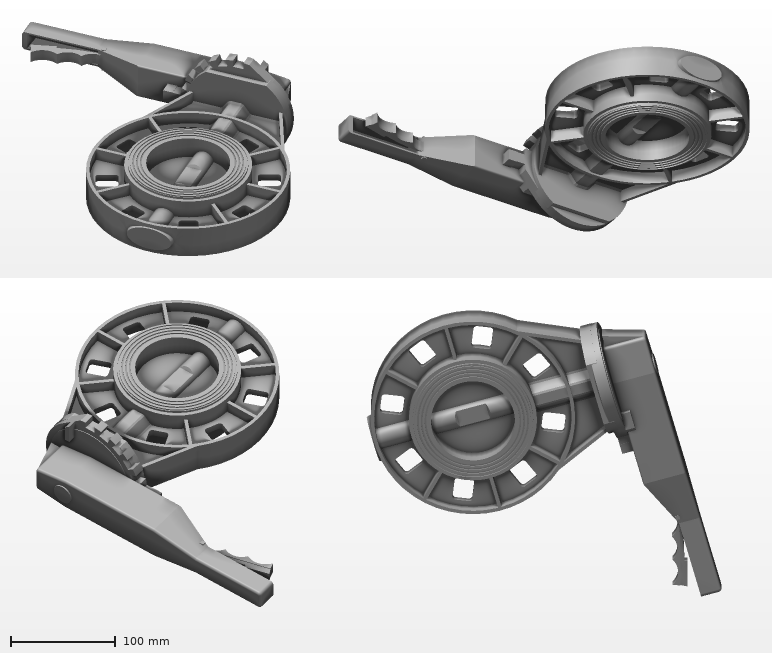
import cadquery as cq
import math

OVERLAP = 1.7

RING_R = 97.5
RING_HALF = 16.0
RIM_WALL = 3.5
WEB_HALF = 3.7
HUB_R = 122.0 / 2
HUB_HALF = 22.0
SEAL_R = 115.0 / 2
SEAL_HALF = 24.5
BORE_R = 80 / 2
GROOVE_R = [44.5, 48.0, 51.7, 55.5]
GROOVE_W = 1.7
GROOVE_DEPTH = 1.5
RIB_W = 3.5
RIB_ANGLES = [0, 45, 135, 180, 225, 315]
WINDOW_COUNT = 8
WINDOW_R = 77.5
WINDOW_RADIAL = 22.0
WINDOW_TANGENT = 19.0
WINDOW_FILLET = 3.5

NECK_TOP_X = 47.7
NECK_BASE_X = 73.0
NECK_BASE_Y = 64.5
STEM_HOUSING_BASE_X = 15.5
STEM_HOUSING_TOP_X = 7.0
STEM_HOUSING_HALF = 14.0
LOWER_BOSS_R = 22.0 / 2
PAD_X_RADIUS = 24.7
PAD_Z_RADIUS = 13.7
PAD_Y = -98.7
PAD_ROOT_Y = -91.7
PAD_DRAFT = 15
BEAD = 2.0
BEAD_ANGLE = 45

FLANGE_R = 53.0
PLATE_R = 52.7
FLANGE_HALF = 43.0
FLANGE_Y0 = 120.7
FLANGE_Y1 = 131.5
PLATE_Y0 = 126.0
PLATE_Y1 = 137.5
TOOTH_TIP_R = 59.7
GAP_FLOOR_R = 52.5
GAP_W = 10.7
GAP_PITCH = 18
GAP_START = 90
GAP_COUNT = 6
END_TOOTH_ANGLE = 11
WASHER_R = 46.5
WASHER_Y = 138.0
STOP_NEAR = 18.0
STOP_FAR = 23.0
STOP_INNER = 32.5
STOP_OUTER = 53.7
STOP_Y = 146.5

DISC_HALF = 2.7
DISC_HUB_R = 22.0 / 2
STEM_R = 15.0 / 2
STEM_HEAD_R = 20.5 / 2
STEM_TOP_Y = 181.0
FLAT_Z = 7.7
FLAT_HALF_Y = 14.7
FLAT_MOUTH_HALF_Y = 17.0

HANDLE_TOP_Y = 179.7
HANDLE_BOTTOM_Y = WASHER_Y
GRIP_END_X = -236.0
GRIP_BOTTOM_Y = 159.5
GRIP_HALF = 10.0
SLOPE_START_X = -158.0
SLOPE_END_X = -108.0
ARM_HALF = STOP_NEAR
ARM_TAPER_X = -2.5
ARM_END_X = 33.0
ARM_END_HALF = 13.5
TOP_FILLET = 2.7
SOLE_FILLET = 1.7
END_FILLET = 3.5
CHANNEL_END_X = -231.0
CHANNEL_FLOOR_Y = 175.0
CHANNEL_MOUTH_HALF = 8.5
CHANNEL_FLOOR_HALF = 5.7
TAIL_X = 44.0
TAIL_Y = 140.5
TAIL_HALF = 10.0

TRIGGER_HALF = 5.7
TRIGGER_BAR_HALF = 5.0
TRIGGER_FREE_END = (-220.5, 143.5)
TRIGGER_BEND = (-169.7, 157.0)
TRIGGER_END_X = -149.5
PIVOT_X = -151.7
PIVOT_Y = 159.7
PIVOT_SIDE = 4.0
PIVOT_HALF = 12.0
PAWL_TAIL_X = -77.5
PAWL_STEP_X = -67.7
PAWL_HEAD_HALF = 5.7
ARM_THICKNESS = 5.0
ARM_RISE_Y = 146.7


def cylinder_z(radius, half):
    return cq.Workplane("XY").circle(radius).extrude(half, both=True)


def along_y(y0, y1):
    """Sketch plane at y0 with local axes X and Z, and the signed extrusion to y1."""
    return cq.Workplane("XZ", origin=(0, y0, 0)), y0 - y1


def cylinder_y(radius, y0, y1):
    plane, length = along_y(y0, y1)
    return plane.circle(radius).extrude(length)


def block(x0, x1, y0, y1, z0, z1):
    return cq.Workplane("XY").box(x1 - x0, y1 - y0, z1 - z0, centered=False).translate((x0, y0, z0))


def polar(radius, degrees):
    return (radius * math.cos(math.radians(degrees)), radius * math.sin(math.radians(degrees)))


def neck_outline(inset):
    """Trapezoid between ring and flange, moved inwards by inset on its two slanted sides."""
    slant = math.hypot(NECK_BASE_X - NECK_TOP_X, FLANGE_Y0 - NECK_BASE_Y)
    shift = inset * slant / (FLANGE_Y0 - NECK_BASE_Y)
    top = NECK_TOP_X - shift
    base = NECK_BASE_X - shift
    return [(-base, NECK_BASE_Y), (-top, FLANGE_Y0), (top, FLANGE_Y0), (base, NECK_BASE_Y)]


def make_ring_and_neck():
    ring = cylinder_z(RING_R, RING_HALF)
    neck = cq.Workplane("XY").polyline(neck_outline(0)).close().extrude(RING_HALF, both=True)
    rim = ring.cut(cylinder_z(RING_R - RIM_WALL, RING_HALF))
    pocket = cq.Workplane("XY").polyline(neck_outline(RIM_WALL)).close().extrude(RING_HALF, both=True)
    walls = neck.cut(pocket).cut(ring).union(rim)
    web = cylinder_z(RING_R - OVERLAP, WEB_HALF).union(
        cq.Workplane("XY").polyline(neck_outline(OVERLAP)).close().extrude(WEB_HALF, both=True))
    return walls.union(web)


def make_ribs():
    ribs = cq.Workplane("XY")
    for angle in RIB_ANGLES:
        rib = block(HUB_R - OVERLAP, RING_R - OVERLAP, -RIB_W / 2, RIB_W / 2, -RING_HALF, RING_HALF)
        ribs = ribs.add(rib.rotate((0, 0, 0), (0, 0, 1), angle))
    return ribs


def make_windows():
    half_pitch = 180 / WINDOW_COUNT
    return (cq.Workplane("XY").polarArray(WINDOW_R, half_pitch, 360, WINDOW_COUNT)
            .rect(WINDOW_RADIAL, WINDOW_TANGENT).extrude(RING_HALF, both=True)
            .edges("|Z").fillet(WINDOW_FILLET))


def make_seal_grooves():
    grooves = cq.Workplane("XY")
    for inner in GROOVE_R:
        for z0 in (SEAL_HALF - GROOVE_DEPTH, -SEAL_HALF):
            grooves = grooves.add(cq.Workplane("XY", origin=(0, 0, z0))
                                  .circle(inner + GROOVE_W).circle(inner).extrude(GROOVE_DEPTH))
    return grooves


def make_stem_housing():
    """Tube with bevelled corners around the stem, from the hub to the flange, and bevels at the flange."""
    quarter = [
        (STEM_HOUSING_BASE_X, WEB_HALF),
        (STEM_HOUSING_BASE_X - BEAD, WEB_HALF + BEAD / 2),
        (STEM_HOUSING_TOP_X, STEM_HOUSING_HALF - BEAD / 2),
        (STEM_HOUSING_TOP_X - BEAD, STEM_HOUSING_HALF),
    ]
    upper = quarter + [(-x, z) for x, z in reversed(quarter)]
    outline = upper + [(-x, -z) for x, z in upper]
    plane, length = along_y(HUB_R - OVERLAP, FLANGE_Y0)
    tube = plane.polyline(outline).close().extrude(length)
    flange_plane = cq.Workplane("XZ", origin=(0, FLANGE_Y0, 0))
    collar = (flange_plane.polyline(outline).close().offset2D(BEAD, "intersection")
              .extrude(BEAD, taper=BEAD_ANGLE))
    bevel = (cq.Workplane("YZ")
             .polyline([(FLANGE_Y0, -WEB_HALF - BEAD), (FLANGE_Y0, WEB_HALF + BEAD),
                        (FLANGE_Y0 - BEAD, WEB_HALF), (FLANGE_Y0 - BEAD, -WEB_HALF)])
             .close().extrude(NECK_TOP_X - RIM_WALL, both=True))
    return tube.union(collar).union(bevel)


def make_lower_boss_and_pad():
    boss = cylinder_y(LOWER_BOSS_R, -RING_R + OVERLAP, -HUB_R + OVERLAP)
    plane, length = along_y(PAD_ROOT_Y, PAD_Y)
    pad = plane.ellipse(PAD_X_RADIUS, PAD_Z_RADIUS).extrude(length, taper=PAD_DRAFT)
    outside_rim = pad.cut(cylinder_z(RING_R - RIM_WALL, RING_HALF))
    return boss.union(outside_rim)


def plate_outline(y0, y1):
    """Solid disc with a wider quadrant; a straight flank runs from each end of the quadrant to the disc."""
    last_gap = GAP_START + GAP_PITCH * (GAP_COUNT - 1)
    first_angle = GAP_START - END_TOOTH_ANGLE
    last_angle = last_gap + END_TOOTH_ANGLE
    middle_angle = (first_angle + last_angle) / 2
    flank_angle = math.degrees(math.acos(PLATE_R / TOOTH_TIP_R))
    plane, length = along_y(y0, y1)
    return (plane.moveTo(*polar(TOOTH_TIP_R, first_angle))
            .threePointArc(polar(TOOTH_TIP_R, middle_angle), polar(TOOTH_TIP_R, last_angle))
            .lineTo(*polar(PLATE_R, last_angle + flank_angle))
            .threePointArc(polar(PLATE_R, middle_angle + 180), polar(PLATE_R, first_angle - flank_angle))
            .close().extrude(length))


def make_stops():
    """Two posts that limit the handle to a quarter turn, trimmed to the edge of the plate."""
    open_stop = block(STOP_NEAR, STOP_FAR, PLATE_Y0, STOP_Y, STOP_INNER, STOP_OUTER)
    closed_stop = block(-STOP_OUTER, -STOP_INNER, PLATE_Y0, STOP_Y, -STOP_FAR, -STOP_NEAR)
    return open_stop.union(closed_stop).intersect(plate_outline(PLATE_Y0, STOP_Y))


def make_ratchet():
    """Flange and toothed plate with the gaps that the pawl drops into."""
    flange = cylinder_y(FLANGE_R, FLANGE_Y0, FLANGE_Y1)
    flange = flange.intersect(block(-FLANGE_R, FLANGE_R, FLANGE_Y0, FLANGE_Y1, -FLANGE_HALF, FLANGE_HALF))
    plate = plate_outline(PLATE_Y0, PLATE_Y1)
    for index in range(GAP_COUNT):
        gap = block(GAP_FLOOR_R, TOOTH_TIP_R + OVERLAP, PLATE_Y0, PLATE_Y1, -GAP_W / 2, GAP_W / 2)
        plate = plate.cut(gap.rotate((0, 0, 0), (0, 1, 0), -(GAP_START + GAP_PITCH * index)))
    washer = cylinder_y(WASHER_R, PLATE_Y0, WASHER_Y)
    return flange.union(plate).union(washer).union(make_stops())


def make_housing():
    housing = make_ring_and_neck().union(make_ribs()).cut(make_windows())
    housing = housing.union(make_stem_housing()).union(make_lower_boss_and_pad())
    housing = housing.union(cylinder_z(HUB_R, HUB_HALF)).union(cylinder_z(SEAL_R, SEAL_HALF))
    housing = housing.cut(make_seal_grooves()).cut(cylinder_z(BORE_R, SEAL_HALF))
    housing = housing.union(make_ratchet())
    return housing.cut(cylinder_y(STEM_R, 0, WASHER_Y))


def make_disc():
    inside_bore = cylinder_z(BORE_R, SEAL_HALF)
    hub = cylinder_y(DISC_HUB_R, -BORE_R, BORE_R).intersect(inside_bore)
    disc = cylinder_z(BORE_R, DISC_HALF).union(hub)
    for side in (1, -1):
        flat = (cq.Workplane("YZ")
                .polyline([(-FLAT_HALF_Y, side * FLAT_Z), (FLAT_HALF_Y, side * FLAT_Z),
                           (FLAT_MOUTH_HALF_Y, side * DISC_HUB_R), (-FLAT_MOUTH_HALF_Y, side * DISC_HUB_R)])
                .close().extrude(DISC_HUB_R, both=True))
        disc = disc.cut(flat)
    disc = disc.union(cylinder_y(STEM_R, 0, STEM_TOP_Y))
    return disc.union(cylinder_y(STEM_HEAD_R, HANDLE_TOP_Y, STEM_TOP_Y))


def make_handle_arm():
    side = (cq.Workplane("XY")
            .polyline([(GRIP_END_X, HANDLE_TOP_Y), (ARM_END_X, HANDLE_TOP_Y), (ARM_END_X, HANDLE_BOTTOM_Y),
                       (SLOPE_END_X, HANDLE_BOTTOM_Y), (SLOPE_START_X, GRIP_BOTTOM_Y),
                       (GRIP_END_X, GRIP_BOTTOM_Y)])
            .close().extrude(ARM_HALF, both=True))
    upper_edge = [(GRIP_END_X, GRIP_HALF), (SLOPE_START_X, GRIP_HALF), (SLOPE_END_X, ARM_HALF),
                  (ARM_TAPER_X, ARM_HALF), (ARM_END_X, ARM_END_HALF)]
    lower_edge = [(x, -z) for x, z in reversed(upper_edge)]
    plane, length = along_y(HANDLE_BOTTOM_Y, HANDLE_TOP_Y)
    plan = plane.polyline(upper_edge + lower_edge).close().extrude(length)
    plan = plan.edges("|Y and (<X or >X)").fillet(END_FILLET)
    plan = plan.faces(">Y").edges().fillet(TOP_FILLET)
    arm = side.intersect(plan)
    return arm.faces("<Y").edges("not |Z").fillet(SOLE_FILLET)


def make_grip_channel():
    """Drafted channel under the grip that takes the squeezed trigger."""
    length = SLOPE_START_X - CHANNEL_END_X
    depth = CHANNEL_FLOOR_Y - GRIP_BOTTOM_Y
    draft = math.degrees(math.atan((CHANNEL_MOUTH_HALF - CHANNEL_FLOOR_HALF) / depth))
    plane = cq.Workplane("XZ", origin=(CHANNEL_END_X + length / 2, GRIP_BOTTOM_Y, 0))
    return plane.rect(length, 2 * CHANNEL_MOUTH_HALF).extrude(-depth, taper=draft)


def make_handle_tail():
    """Wedge on the free end of the handle, leaning outwards towards the ratchet plate."""
    root_x = ARM_END_X - END_FILLET
    crest_y = HANDLE_TOP_Y - TOP_FILLET
    return (cq.Workplane("XY")
            .polyline([(root_x, crest_y), (ARM_END_X, crest_y), (TAIL_X, TAIL_Y), (root_x, TAIL_Y)])
            .close().extrude(TAIL_HALF, both=True))


def make_handle(latch):
    handle = make_handle_arm().union(make_handle_tail()).cut(make_grip_channel())
    return handle.cut(cylinder_y(STEM_R, HANDLE_BOTTOM_Y, HANDLE_TOP_Y)).cut(latch)


def make_trigger():
    """Straight bar with three finger scallops below it; the last one runs into the handle."""
    bar = (cq.Workplane("XY")
           .polyline([TRIGGER_FREE_END, (-223.5, 149.0), (-198.7, 156.0), (-198.0, 153.5), (-180.0, 157.7),
                      (TRIGGER_END_X, 161.7), (TRIGGER_END_X, 157.7), TRIGGER_BEND])
           .close().extrude(TRIGGER_BAR_HALF, both=True))
    grip = (cq.Workplane("XY").moveTo(*TRIGGER_FREE_END)
            .lineTo(-218.0, 136.0).threePointArc((-207.7, 144.5), (-193.5, 143.0))
            .threePointArc((-183.7, 150.5), (-170.7, 148.7))
            .threePointArc((-163.5, 156.0), (TRIGGER_END_X, 156.0))
            .lineTo(TRIGGER_END_X, 159.7).lineTo(*TRIGGER_BEND)
            .close().extrude(TRIGGER_HALF, both=True))
    return bar.union(grip)


def make_pivot():
    half_side = PIVOT_SIDE / 2
    return block(PIVOT_X - half_side, PIVOT_X + half_side, PIVOT_Y - half_side, PIVOT_Y + half_side,
                 -PIVOT_HALF, PIVOT_HALF)


def make_pawl():
    """Arm inside the handle that joins the trigger to the pawl resting in the last ratchet gap."""
    arm = (cq.Workplane("XY")
           .polyline([(PIVOT_X, PIVOT_Y - ARM_THICKNESS / 2), (PIVOT_X, PIVOT_Y + ARM_THICKNESS / 2),
                      (PAWL_STEP_X, ARM_RISE_Y), (PAWL_STEP_X, PLATE_Y0), (PAWL_TAIL_X, PLATE_Y0),
                      (PAWL_TAIL_X, ARM_RISE_Y - ARM_THICKNESS)])
           .close().extrude(PAWL_HEAD_HALF, both=True))
    tip = block(PAWL_STEP_X, -FLANGE_R, PLATE_Y0, PLATE_Y1, -GAP_W / 2, GAP_W / 2)
    return arm.union(tip)


def make_latch():
    return make_trigger().union(make_pivot()).union(make_pawl())


housing = make_housing()
disc = make_disc()
latch = make_latch()
handle = make_handle(latch)

result = cq.Compound.makeCompound([
    housing.solids().val(),
    disc.solids().val(),
    handle.solids().val(),
    latch.solids().val(),
])